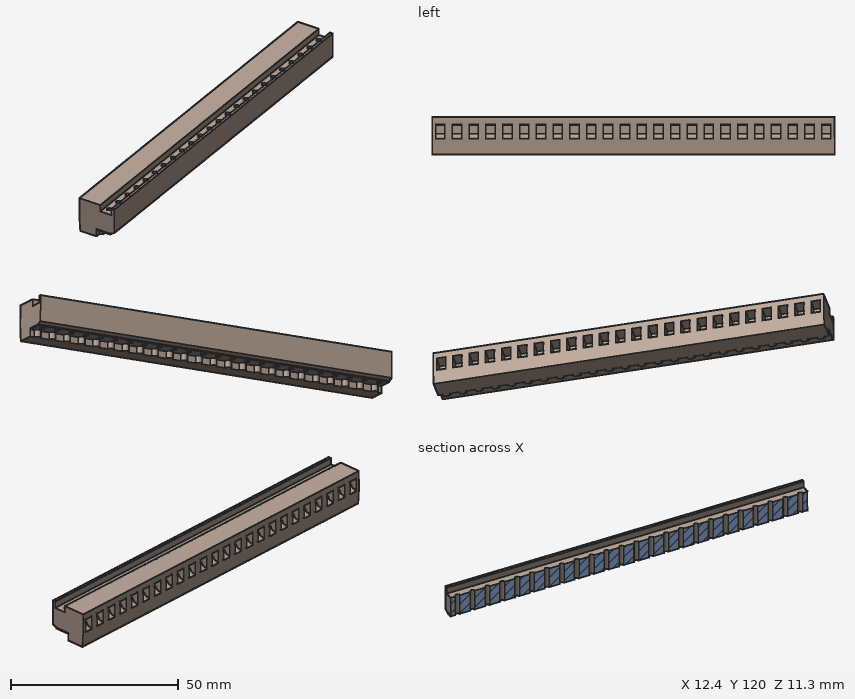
import cadquery as cq

length = 120.0
width = 12.4
height = 11.3

groove_left = 7.5
groove_right = 11.4
groove_depth = 2.2
taper_start_depth = 6.5
taper_inset = 0.3
sole_chamfer_height = 0.6
sole_chamfer_inset = 0.06
foot_right = 6.1
underside_depth = 8.8
bevel_start_depth = 8.2
bevel_width = 1.3
end_flare = 0.1

pad_thickness = 0.4
pad_setback = 0.1

pole_count = 24
pole_pitch = length / pole_count
pole_row_center = end_flare / 2

entry_width = 2.8
entry_top_depth = 2.2
entry_roof_drop = 0.4
entry_reach = 3.6
ledge_depth = 5.0
sill_reach = 1.0
sill_rise = 0.4
scoop_radius = taper_start_depth - sill_rise - ledge_depth

hole_diameter = 1.5
hole_x = 9.0

rib_radius = 1.1

top = height
end_y = length / 2
underside = top - underside_depth


def make_body():
    """Extruded strip section with its -Y end leaning outward towards the bottom."""
    section = [
        (0, top),
        (groove_left, top),
        (groove_left, top - groove_depth),
        (groove_right, top - groove_depth),
        (groove_right, top),
        (width, top),
        (width, top - bevel_start_depth),
        (width - bevel_width, underside),
        (foot_right, underside),
        (foot_right, 0),
        (taper_inset + sole_chamfer_inset, 0),
        (taper_inset, sole_chamfer_height),
        (0, top - taper_start_depth),
    ]
    strip = cq.Workplane("XZ", origin=(0, end_y, 0)).polyline(section).close().extrude(length)
    end_wedge = (
        cq.Workplane("YZ")
        .polyline([(-end_y, 0), (-end_y, top), (-end_y + end_flare, top)])
        .close()
        .extrude(width)
    )
    return strip.cut(end_wedge)


def make_pad():
    """Thin pad that thickens the overhang between the foot and the bevel."""
    return cq.Workplane("XY").box(
        width - bevel_width - foot_right,
        length - 2 * pad_setback,
        pad_thickness,
        centered=(False, True, False),
    ).translate((foot_right, 0, underside - pad_thickness))


def make_wire_entry(y):
    """Pocket with a falling roof and a sloping sill that scoops up to a flat ledge."""
    sill_z = top - taper_start_depth + sill_rise
    return (
        cq.Workplane("XZ", origin=(0, y + entry_width / 2, 0))
        .moveTo(0, top - entry_top_depth)
        .lineTo(entry_reach, top - entry_top_depth - entry_roof_drop)
        .lineTo(entry_reach, top - ledge_depth)
        .lineTo(sill_reach + scoop_radius, top - ledge_depth)
        .radiusArc((sill_reach, sill_z), scoop_radius)
        .lineTo(0, top - taper_start_depth)
        .close()
        .extrude(entry_width)
    )


def make_contact_hole(y):
    return cq.Workplane("XY").center(hole_x, y).circle(hole_diameter / 2).extrude(height)


def make_foot_rib(y):
    return cq.Workplane("XY").center(foot_right, y).circle(rib_radius).extrude(underside)


result = make_body().union(make_pad())
for pole in range(pole_count):
    pole_y = pole_row_center + (pole - (pole_count - 1) / 2) * pole_pitch
    result = result.union(make_foot_rib(pole_y))
    result = result.cut(make_wire_entry(pole_y))
    result = result.cut(make_contact_hole(pole_y))